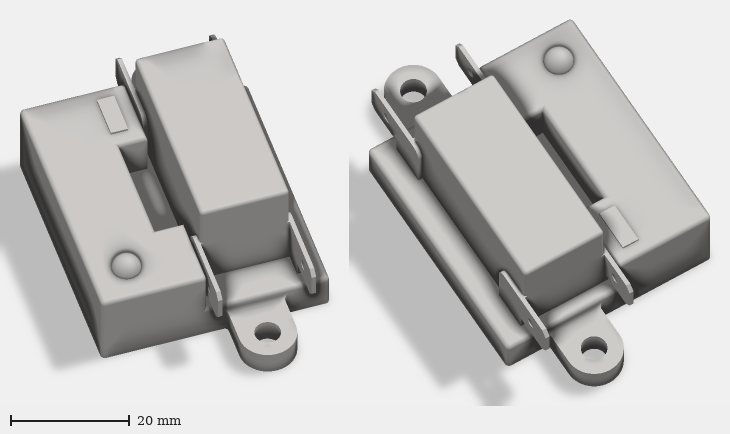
import cadquery as cq

BODY_LENGTH = 45.2
BODY_WIDTH = 40.39
BASE_HEIGHT = 6.35
BLOCK_HEIGHT = 14.37
BLOCK_BACK_Y = -1.57
BODY_FILLET = 0.8

NOTCH_LENGTH = 19.6
NOTCH_DEPTH = 5.1

OVERALL_LENGTH = 68.17
EAR_WIDTH = 10.0
EAR_HEIGHT = 4.3
EAR_HOLE_DIAMETER = 4.5
EAR_Y = 7.05
EAR_ROOT_FILLET = 0.68

OVERALL_HEIGHT = 23.37
RELAY_LEFT_X = -20.0
RELAY_RIGHT_X = 16.0
RELAY_WIDTH = 15.76
RELAY_Y = 7.3
RELAY_FILLET = 0.67

BLADE_THICKNESS = 0.8
BLADE_INNER_X = 12.95
BLADE_OUTER_X = 28.05
BLADE_BOTTOM_Z = 9.12
BLADE_TOP_Z = 15.47
BLADE_CHAMFER = 1.1
BLADE_CORNER_RADIUS = 1.9
BLADE_HOLE_DIAMETER = 1.78
BLADE_HOLE_X = 23.2
LEG_OUTER_X = -RELAY_LEFT_X

DOME_RADIUS = 2.54
DOME_X = 16.3
DOME_Y = -13.8
PAD_LENGTH = 7.65
PAD_WIDTH = 3.05
PAD_HEIGHT = 0.4
PAD_X = -16.25
PAD_Y = -5.7

BODY_FRONT_Y = -BODY_WIDTH / 2


def upright_box(length, width, height, x, y, z):
    """Box centred on (x, y) with its bottom face at z."""
    return cq.Workplane("XY").box(length, width, height, centered=(True, True, False)).translate((x, y, z))


def make_base():
    base = upright_box(BODY_LENGTH, BODY_WIDTH, BASE_HEIGHT, 0, 0, 0)
    return base.edges("|Z or >Z").fillet(BODY_FILLET)


def make_block():
    width = BLOCK_BACK_Y - BODY_FRONT_Y
    block = upright_box(BODY_LENGTH, width, BLOCK_HEIGHT, 0, BODY_FRONT_Y + width / 2, 0)
    block = block.edges("|Z").fillet(BODY_FILLET)
    notch = upright_box(
        NOTCH_LENGTH, 2 * NOTCH_DEPTH, BLOCK_HEIGHT - BASE_HEIGHT, 0, BLOCK_BACK_Y, BASE_HEIGHT
    )
    return block.cut(notch).faces(">Z").edges().fillet(BODY_FILLET)


def make_ear_root():
    """Flare, concave in section, that blends the +X ear's top and sides into the body wall."""
    wall_x = BODY_LENGTH / 2
    flare = upright_box(
        EAR_ROOT_FILLET,
        EAR_WIDTH + 2 * EAR_ROOT_FILLET,
        EAR_HEIGHT + EAR_ROOT_FILLET,
        wall_x + EAR_ROOT_FILLET / 2,
        EAR_Y,
        0,
    )
    round_x = wall_x + EAR_ROOT_FILLET
    for side in (-1, 1):
        round_y = EAR_Y + side * (EAR_WIDTH / 2 + EAR_ROOT_FILLET)
        flare = flare.cut(
            cq.Workplane("XY").center(round_x, round_y).circle(EAR_ROOT_FILLET).extrude(BASE_HEIGHT)
        )
    top_round = (
        cq.Workplane("XZ", origin=(0, EAR_Y, 0))
        .center(round_x, EAR_HEIGHT + EAR_ROOT_FILLET)
        .circle(EAR_ROOT_FILLET)
        .extrude(EAR_WIDTH, both=True)
    )
    return flare.cut(top_round)


def make_ear():
    """Ear on the +X side with a round tip, a mounting hole and a filleted root."""
    hole_x = (OVERALL_LENGTH - EAR_WIDTH) / 2
    wall_x = BODY_LENGTH / 2 - BODY_FILLET
    arm = upright_box(hole_x - wall_x, EAR_WIDTH, EAR_HEIGHT, (hole_x + wall_x) / 2, EAR_Y, 0)
    tip = cq.Workplane("XY").center(hole_x, EAR_Y).circle(EAR_WIDTH / 2).extrude(EAR_HEIGHT)
    hole = cq.Workplane("XY").center(hole_x, EAR_Y).circle(EAR_HOLE_DIAMETER / 2).extrude(EAR_HEIGHT)
    return arm.union(tip).cut(hole).union(make_ear_root())


def make_relay():
    """Case with square corners between the blades and rounded edges above them."""
    length = RELAY_RIGHT_X - RELAY_LEFT_X
    middle_x = (RELAY_RIGHT_X + RELAY_LEFT_X) / 2
    lower = upright_box(length, RELAY_WIDTH, BLADE_TOP_Z - BASE_HEIGHT, middle_x, RELAY_Y, BASE_HEIGHT)
    upper = upright_box(
        length, RELAY_WIDTH, OVERALL_HEIGHT - BLADE_TOP_Z, middle_x, RELAY_Y, BLADE_TOP_Z
    )
    return lower.union(upper.edges("|Z or >Z").fillet(RELAY_FILLET))


def make_blade(inner_y):
    """+X blade with its leg down to the base; its thickness runs from inner_y toward +Y."""
    height = BLADE_TOP_Z - BLADE_BOTTOM_Z
    middle_y = inner_y + BLADE_THICKNESS / 2
    blade = upright_box(
        BLADE_OUTER_X - BLADE_INNER_X,
        BLADE_THICKNESS,
        height,
        (BLADE_OUTER_X + BLADE_INNER_X) / 2,
        middle_y,
        BLADE_BOTTOM_Z,
    )
    blade = blade.edges("|Y and >X").chamfer(BLADE_CHAMFER)
    blade = blade.edges("|Y and <X and >Z").fillet(BLADE_CORNER_RADIUS)
    hole = (
        cq.Workplane("XZ", origin=(0, middle_y, 0))
        .center(BLADE_HOLE_X, (BLADE_TOP_Z + BLADE_BOTTOM_Z) / 2)
        .circle(BLADE_HOLE_DIAMETER / 2)
        .extrude(BLADE_THICKNESS, both=True)
    )
    leg = upright_box(
        LEG_OUTER_X - BLADE_INNER_X,
        BLADE_THICKNESS,
        BLADE_BOTTOM_Z - BASE_HEIGHT,
        (LEG_OUTER_X + BLADE_INNER_X) / 2,
        middle_y,
        BASE_HEIGHT,
    )
    return blade.cut(hole).union(leg)


def make_dome():
    return cq.Workplane("XY").sphere(DOME_RADIUS).translate((DOME_X, DOME_Y, BLOCK_HEIGHT))


def make_pad():
    return upright_box(PAD_LENGTH, PAD_WIDTH, PAD_HEIGHT, PAD_X, PAD_Y, BLOCK_HEIGHT)


def with_mirror(shape):
    """The shape together with its mirror image across the YZ plane."""
    return shape.union(shape.mirror("YZ"))


result = make_base().union(make_block()).union(make_relay())
result = result.union(with_mirror(make_ear()))
relay_back_y = RELAY_Y + RELAY_WIDTH / 2
relay_front_y = RELAY_Y - RELAY_WIDTH / 2
for blade_y in (relay_back_y, relay_front_y - BLADE_THICKNESS):
    result = result.union(with_mirror(make_blade(blade_y)))
result = result.union(make_dome()).union(make_pad())